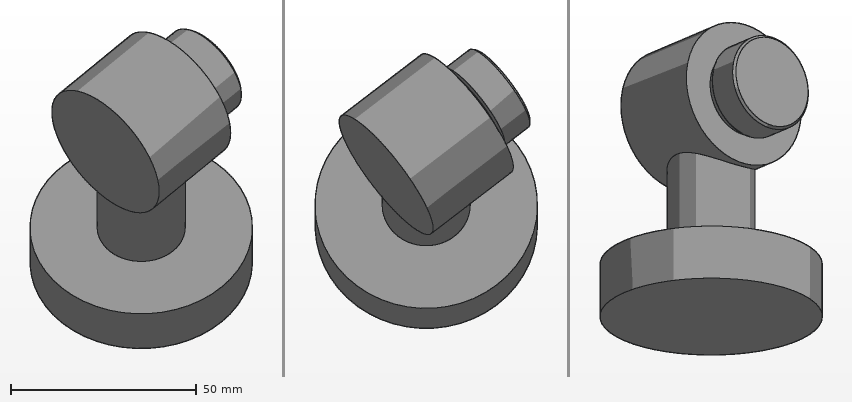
import cadquery as cq

foot_diameter = 60.0
foot_height = 15.0
stem_diameter = 23.8
head_diameter = 40.0
head_length = 28.0
head_axis_height = 60.0

neck_diameter = 23.5
neck_length = 2.0
knob_diameter = 26.3
knob_length = 10.0
knob_chamfer = 0.6


def cylinder_along_y(diameter, start, length):
    """Horizontal cylinder on the head axis, running from start towards +Y."""
    plane = cq.Plane(origin=(0, start, head_axis_height), xDir=(1, 0, 0), normal=(0, 1, 0))
    return cq.Workplane(plane).circle(diameter / 2).extrude(length)


def make_post():
    foot = cq.Workplane("XY").circle(foot_diameter / 2).extrude(foot_height)
    stem = cq.Workplane("XY").circle(stem_diameter / 2).extrude(head_axis_height)
    head = cylinder_along_y(head_diameter, -head_length / 2, head_length)
    return foot.union(stem).union(head)


def make_bumper():
    neck_start = head_length / 2
    knob_start = neck_start + neck_length
    neck = cylinder_along_y(neck_diameter, neck_start, neck_length)
    knob = cylinder_along_y(knob_diameter, knob_start, knob_length)
    knob = knob.faces("<Y or >Y").edges().chamfer(knob_chamfer)
    return neck.union(knob)


post = make_post()
bumper = make_bumper()

result = cq.Compound.makeCompound([post.val(), bumper.val()])